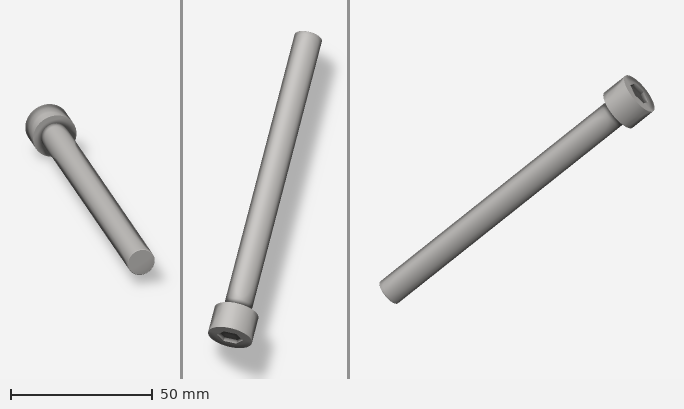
import cadquery as cq
import math

total_length = 120
shank_diameter = 10.0
head_diameter = 16.0
head_height = shank_diameter
tip_chamfer = 0.2
socket_across_flats = 8.0
socket_depth = 1.5


def make_head():
    return cq.Workplane("YZ").circle(head_diameter / 2).extrude(head_height)


def make_shank():
    shank = cq.Workplane("YZ").circle(shank_diameter / 2).extrude(total_length)
    return shank.faces(">X").chamfer(tip_chamfer)


def make_socket():
    across_corners = socket_across_flats / math.cos(math.pi / 6)
    return cq.Workplane("YZ").polygon(6, across_corners).extrude(socket_depth)


result = make_head().union(make_shank()).cut(make_socket())